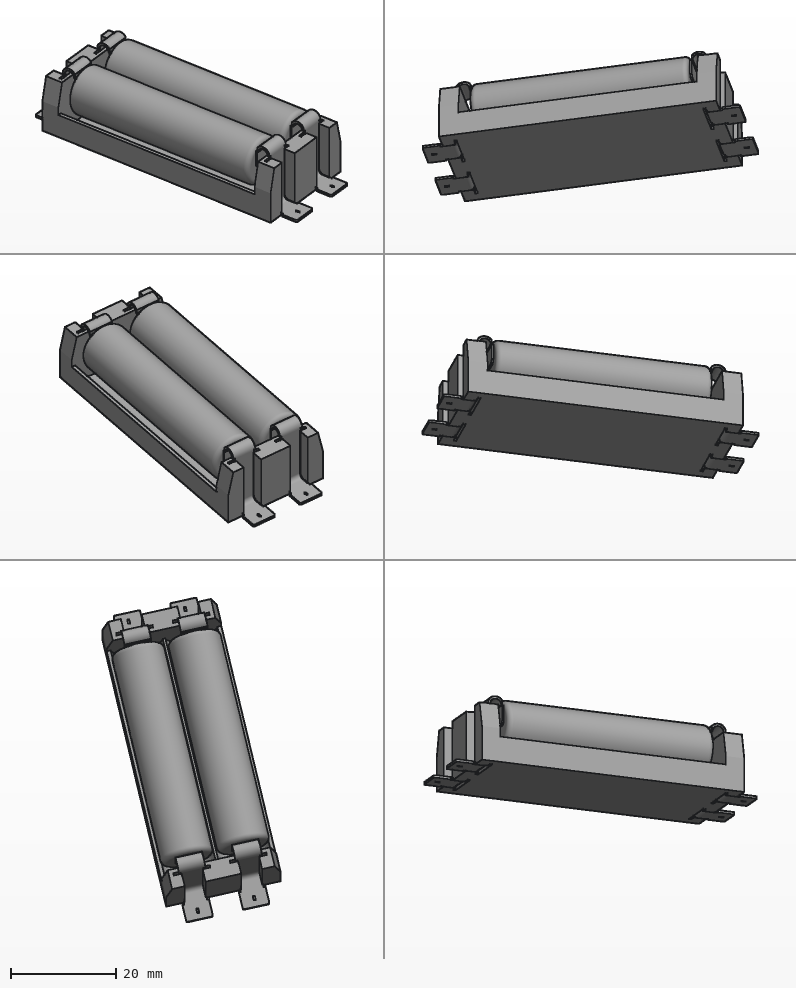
import cadquery as cq
import math

TOTAL_LENGTH = 62.05
TOTAL_HEIGHT = 14.0

HOLDER_LENGTH = 54.2
HOLDER_WIDTH = 22.4
END_WALL_HEIGHT = 11.8
RAIL_HEIGHT = 5.0
WALL_INNER_X = 23.25
SHOULDER_HEIGHT = 6.7
SHOULDER_INSET = 1.2
TROUGH_WIDTH = 10.2
TROUGH_SPACING = 10.7
TROUGH_FLOOR = 0.75
TROUGH_CORNER_RADIUS = RAIL_HEIGHT - TROUGH_FLOOR

BATTERY_DIAMETER = 10.2
BATTERY_LENGTH = 42.55
BATTERY_EDGE_RADIUS = 1.0
BATTERY_SIDE_SHIFT = -0.2
BATTERY_AXIS_Z = TOTAL_HEIGHT - BATTERY_DIAMETER / 2

CONTACT_SPACING = 11.05
STRIP_THICKNESS = 0.5
STEM_WIDTH = 4.45
STEM_OUTER_X = 24.6
STEM_INNER_X = STEM_OUTER_X - STRIP_THICKNESS
BEND_RADIUS = 0.9
LOOP_WIDTH = 5.2
LOOP_RADIUS = 1.6
LOOP_END_X = 21.6
LOOP_INNER_RADIUS = LOOP_RADIUS - STRIP_THICKNESS
LOOP_CENTRE_X = STEM_OUTER_X - LOOP_RADIUS
LOOP_CENTRE_Z = TOTAL_HEIGHT - LOOP_RADIUS
PAD_THICKNESS = 0.4
PAD_BOTTOM_Z = 8.55
PAD_CORNER_RADIUS = 0.9
TAB_WIDTH = 5.2
TAB_INNER_X = 27.55
TAB_CORNER_RADIUS = 0.3
TAB_HOLE_X = 29.3
TAB_HOLE_LENGTH = 0.9
TAB_HOLE_WIDTH = 0.4

RECESS_WIDTH = 4.1
SLOT_WIDTH = 7.15

BEND_CENTRE_X = STEM_OUTER_X + BEND_RADIUS
BEND_CENTRE_Z = STRIP_THICKNESS + BEND_RADIUS
BEND_OUTER_RADIUS = BEND_RADIUS + STRIP_THICKNESS
DIAGONAL = math.sqrt(0.5)


def box(x_min, x_max, width, z_min, z_max):
    """Block centred on Y = 0."""
    block = cq.Workplane("XY").box(x_max - x_min, width, z_max - z_min, centered=(False, True, False))
    return block.translate((x_min, 0, z_min))


def bend_point(radius):
    """Middle point of the quarter bend at the given radius, as (x, z)."""
    return (BEND_CENTRE_X - radius * DIAGONAL, BEND_CENTRE_Z - radius * DIAGONAL)


def extrude_across(outline, width):
    """Extrude a closed XZ outline evenly to both sides of Y = 0."""
    return outline.extrude(width / 2, both=True)


def on_both_ends(body):
    """The body at the +X end and its mirror image at the -X end."""
    return [body, body.mirror("YZ")]


def make_contact():
    """Spring contact at the +X end, centred on Y = 0."""
    stem = extrude_across(
        cq.Workplane("XZ")
        .moveTo(TAB_INNER_X, 0)
        .lineTo(BEND_CENTRE_X, 0)
        .threePointArc(bend_point(BEND_OUTER_RADIUS), (STEM_INNER_X, BEND_CENTRE_Z))
        .lineTo(STEM_INNER_X, LOOP_CENTRE_Z)
        .lineTo(STEM_OUTER_X, LOOP_CENTRE_Z)
        .lineTo(STEM_OUTER_X, BEND_CENTRE_Z)
        .threePointArc(bend_point(BEND_RADIUS), (BEND_CENTRE_X, STRIP_THICKNESS))
        .lineTo(TAB_INNER_X, STRIP_THICKNESS)
        .close(),
        STEM_WIDTH,
    )
    loop_end_top_z = LOOP_CENTRE_Z + math.sqrt(LOOP_RADIUS**2 - (LOOP_CENTRE_X - LOOP_END_X) ** 2)
    loop = extrude_across(
        cq.Workplane("XZ")
        .moveTo(STEM_OUTER_X, LOOP_CENTRE_Z)
        .threePointArc((LOOP_CENTRE_X, TOTAL_HEIGHT), (LOOP_END_X, loop_end_top_z))
        .lineTo(LOOP_END_X, LOOP_CENTRE_Z)
        .lineTo(LOOP_CENTRE_X - LOOP_INNER_RADIUS, LOOP_CENTRE_Z)
        .threePointArc(
            (LOOP_CENTRE_X, LOOP_CENTRE_Z + LOOP_INNER_RADIUS),
            (LOOP_CENTRE_X + LOOP_INNER_RADIUS, LOOP_CENTRE_Z),
        )
        .close(),
        LOOP_WIDTH,
    )
    battery_end_x = BATTERY_LENGTH / 2
    pad = box(battery_end_x, battery_end_x + PAD_THICKNESS, LOOP_WIDTH, PAD_BOTTOM_Z, LOOP_CENTRE_Z)
    pad = pad.edges("|X and <Z").fillet(PAD_CORNER_RADIUS)

    tab = box(TAB_INNER_X, TOTAL_LENGTH / 2, TAB_WIDTH, 0, STRIP_THICKNESS)
    tab = tab.edges("|Z and >X").fillet(TAB_CORNER_RADIUS)
    hole = (
        cq.Workplane("XY")
        .center(TAB_HOLE_X, 0)
        .slot2D(TAB_HOLE_LENGTH, TAB_HOLE_WIDTH)
        .extrude(STRIP_THICKNESS)
    )
    return stem.union(loop).union(pad).union(tab.cut(hole))


def make_contact_opening():
    """Space cut from the +X end wall for one contact, centred on Y = 0."""
    wall_outer_x = HOLDER_LENGTH / 2
    recess = box(STEM_OUTER_X, wall_outer_x, RECESS_WIDTH, 0, END_WALL_HEIGHT)
    slot = box(STEM_INNER_X, STEM_OUTER_X, SLOT_WIDTH, 0, END_WALL_HEIGHT)
    foot_groove = extrude_across(
        cq.Workplane("XZ")
        .moveTo(wall_outer_x, 0)
        .lineTo(STEM_INNER_X, 0)
        .lineTo(STEM_INNER_X, BEND_CENTRE_Z)
        .lineTo(STEM_OUTER_X, BEND_CENTRE_Z)
        .threePointArc(bend_point(BEND_RADIUS), (BEND_CENTRE_X, STRIP_THICKNESS))
        .lineTo(wall_outer_x, STRIP_THICKNESS)
        .close(),
        STEM_WIDTH,
    )
    return recess.union(slot).union(foot_groove)


def make_trough():
    """Round-cornered channel under one battery, open upwards, centred on Y = 0."""
    trough = box(-WALL_INNER_X, WALL_INNER_X, TROUGH_WIDTH, TROUGH_FLOOR, END_WALL_HEIGHT)
    return trough.edges("|X and <Z").fillet(TROUGH_CORNER_RADIUS)


def make_holder():
    half_width = HOLDER_WIDTH / 2
    top_half_width = half_width - SHOULDER_INSET
    holder = (
        cq.Workplane("YZ")
        .polyline([
            (-half_width, 0),
            (half_width, 0),
            (half_width, SHOULDER_HEIGHT),
            (top_half_width, END_WALL_HEIGHT),
            (-top_half_width, END_WALL_HEIGHT),
            (-half_width, SHOULDER_HEIGHT),
        ])
        .close()
        .extrude(HOLDER_LENGTH / 2, both=True)
    )
    holder = holder.cut(box(-WALL_INNER_X, WALL_INNER_X, HOLDER_WIDTH, RAIL_HEIGHT, END_WALL_HEIGHT))
    for side in (-1, 1):
        holder = holder.cut(make_trough().translate((0, side * TROUGH_SPACING / 2, 0)))
        for opening in on_both_ends(make_contact_opening()):
            holder = holder.cut(opening.translate((0, side * CONTACT_SPACING / 2, 0)))
    return holder


def make_battery():
    """Battery lying along X, centred on Y = 0."""
    battery = (
        cq.Workplane("YZ", origin=(-BATTERY_LENGTH / 2, 0, BATTERY_AXIS_Z))
        .circle(BATTERY_DIAMETER / 2)
        .extrude(BATTERY_LENGTH)
    )
    return battery.edges("%CIRCLE").fillet(BATTERY_EDGE_RADIUS)


holder = make_holder()
batteries = []
contacts = []
for side in (-1, 1):
    contact_y = side * CONTACT_SPACING / 2
    batteries.append(make_battery().translate((0, contact_y + BATTERY_SIDE_SHIFT, 0)))
    for contact in on_both_ends(make_contact()):
        contacts.append(contact.translate((0, contact_y, 0)))

result = cq.Compound.makeCompound(
    [holder.val()]
    + [battery.val() for battery in batteries]
    + [contact.val() for contact in contacts]
)